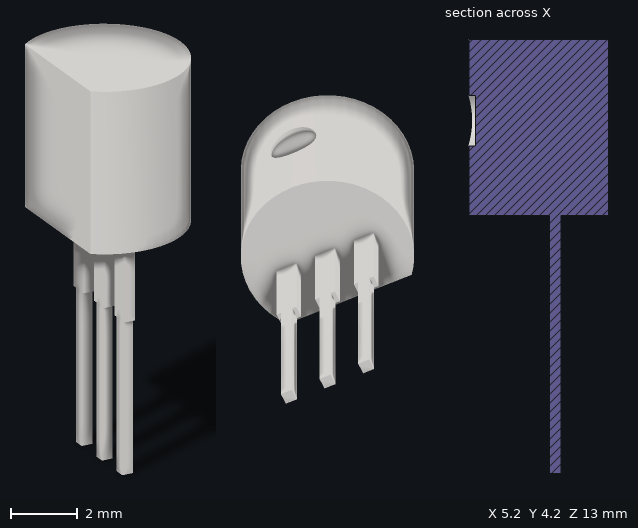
import cadquery as cq

body_radius = 2.6
body_height = 5.3
flat_offset = 1.6

mark_radius = 0.75
mark_depth = 0.2
mark_height = 2.85

lead_count = 3
lead_pitch = 1.27
lead_thickness = 0.36
shoulder_width = 0.65
shoulder_length = 2.7
total_height = 13.03
lead_length = total_height - body_height
tip_width = 0.36


def make_body():
    cylinder = cq.Workplane("XY").circle(body_radius).extrude(body_height)
    front_segment = (
        cq.Workplane("XY")
        .box(2 * body_radius, body_radius, body_height, centered=(True, False, False))
        .translate((0, -flat_offset - body_radius, 0))
    )
    return cylinder.cut(front_segment)


def make_ejector_mark():
    return (
        cq.Workplane("XZ", origin=(0, body_radius, mark_height))
        .circle(mark_radius)
        .extrude(mark_depth)
    )


def make_lead(x):
    """Lead hanging below the body: a wide shoulder that steps down to a narrow tip."""
    underside = cq.Workplane("XY", origin=(x, 0, 0))
    shoulder = underside.rect(shoulder_width, lead_thickness).extrude(-shoulder_length)
    core = underside.rect(tip_width, lead_thickness).extrude(-lead_length)
    return shoulder.union(core)


result = make_body().cut(make_ejector_mark())
for index in range(lead_count):
    lead_x = (index - (lead_count - 1) / 2) * lead_pitch
    result = result.union(make_lead(lead_x))